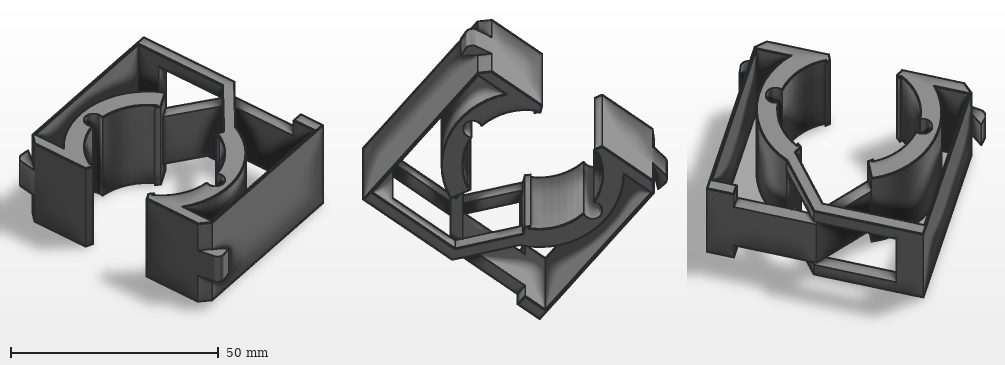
import cadquery as cq
import math

overall_width = 60.85
height = 25.0
box_width = 54.0
box_depth = 47.15
side_wall = 0.6
bar_thickness = 3.0
corner_cut = 2.45
edge_chamfer = 0.2

jaw_offset = 2.0
jaw_center_y = 15.45
jaw_outer_radius = 20.4
jaw_bore_radius = 15.2
jaw_end_angle = 65.3
tip_radius = 15.0
lip_radius = 14.55
lip_angle = 59.8
lip_root_angle = 60.8
notch_radius = 2.3
notch_x = 18.3

tab_width = 6.8
outer_link_height = 4.0
middle_link_height = 15.05
link_bend_x = 0.3

hook_height = 8.05
hook_flat_x, hook_flat_y = 28.8, 0.65
hook_side_x, hook_side_y = 30.35, 3.05
hook_tip_x, hook_tip_y = 30.1, 5.0

half_width = box_width / 2
tab_end_x = half_width - tab_width


def jaw_point(radius, angle):
    """Point on the right jaw, in polar coordinates about its centre."""
    turn = math.radians(angle)
    return (jaw_offset + radius * math.cos(turn), jaw_center_y + radius * math.sin(turn))


def prism(points):
    """Full-height prism over a closed polygon."""
    return cq.Workplane("XY").polyline(points).close().extrude(height)


def block(x_min, x_max, y_min, y_max, z_size=height):
    """Box given by its X and Y ranges, centred on mid-height."""
    return (
        cq.Workplane("XY")
        .box(x_max - x_min, y_max - y_min, z_size, centered=False)
        .translate((x_min, y_min, (height - z_size) / 2))
    )


def mirrored(solid):
    return solid.mirror("YZ")


def jaw():
    end = jaw_end_angle
    return (
        cq.Workplane("XY")
        .moveTo(*jaw_point(jaw_outer_radius, -end))
        .threePointArc(jaw_point(jaw_outer_radius, 0), jaw_point(jaw_outer_radius, end))
        .lineTo(*jaw_point(tip_radius, end))
        .lineTo(*jaw_point(lip_radius, lip_angle))
        .lineTo(*jaw_point(jaw_bore_radius, lip_root_angle))
        .threePointArc(jaw_point(jaw_bore_radius, 0), jaw_point(jaw_bore_radius, -lip_root_angle))
        .lineTo(*jaw_point(lip_radius, -lip_angle))
        .lineTo(*jaw_point(tip_radius, -end))
        .close()
        .extrude(height)
        .intersect(block(-half_width, half_width, 0, box_depth))
    )


def front_bar():
    bore = cq.Workplane("XY").center(jaw_offset, jaw_center_y).circle(jaw_bore_radius).extrude(height)
    inner_x = jaw_point(tip_radius, -jaw_end_angle)[0] + bar_thickness
    return block(inner_x, half_width, 0, bar_thickness).cut(bore)


def half_frame():
    wall = block(half_width - side_wall, half_width, 0, box_depth)
    tab = block(tab_end_x, half_width, box_depth - bar_thickness, box_depth)
    corner = prism([
        (half_width - corner_cut, 0),
        (half_width, 0),
        (half_width, corner_cut),
    ])
    return jaw().union(front_bar()).union(wall).union(tab).cut(corner)


def link():
    bend = (link_bend_x, box_depth)
    jaw_outer = jaw_point(jaw_outer_radius, jaw_end_angle)
    run = jaw_outer[0] - bend[0]
    drop = bend[1] - jaw_outer[1]
    arm_length = math.hypot(run, drop)
    arm_tilt = math.atan2(drop, run)

    inner_y = box_depth - bar_thickness
    inner_bend_x = bend[0] + bar_thickness * (run - arm_length) / drop
    arm_to_end_face = math.radians(jaw_end_angle) + arm_tilt
    covered = bar_thickness / math.sin(arm_to_end_face)
    jaw_inner = jaw_point(jaw_outer_radius - covered, jaw_end_angle)
    return prism([
        (-tab_end_x, box_depth),
        bend,
        jaw_outer,
        jaw_inner,
        (inner_bend_x, inner_y),
        (-tab_end_x, inner_y),
    ])


def hook():
    base_x = half_width - corner_cut
    flat_slope = math.atan2(hook_flat_y, hook_flat_x - base_x)
    chord_slope = (flat_slope + math.pi / 2) / 2
    widest_x = overall_width / 2
    widest_y = hook_flat_y + (widest_x - hook_flat_x) * math.tan(chord_slope)
    return (
        cq.Workplane("XY")
        .workplane(offset=(height - hook_height) / 2)
        .moveTo(base_x, 0)
        .lineTo(hook_flat_x, hook_flat_y)
        .threePointArc((widest_x, widest_y), (hook_side_x, hook_side_y))
        .lineTo(hook_tip_x, hook_tip_y)
        .lineTo(half_width, corner_cut)
        .close()
        .extrude(hook_height)
    )


def middle_slab(z_size):
    """Slab over the whole clip, centred on mid-height."""
    return block(-half_width, half_width, 0, box_depth, z_size)


frame = half_frame()
body = frame.union(mirrored(frame)).union(link())
body = body.faces(">Z or <Z").edges().chamfer(edge_chamfer)

opening = link().intersect(middle_slab(height - 2 * outer_link_height))
middle_link = mirrored(link()).intersect(middle_slab(middle_link_height))
body = body.cut(opening).union(middle_link)

for side in (-1, 1):
    notch = cq.Workplane("XY").center(side * notch_x, jaw_center_y).circle(notch_radius).extrude(height)
    body = body.cut(notch)

result = body.union(hook()).union(mirrored(hook()))